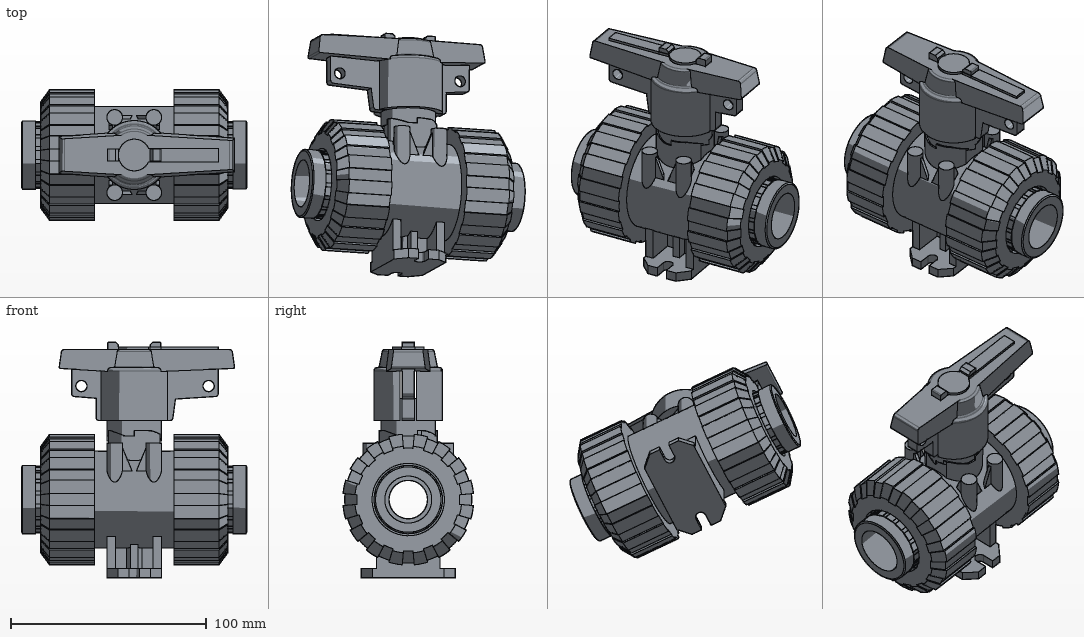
import cadquery as cq


overall_length = 115.0
foot_bottom_z = -40.0
lug_top_z = 80.43

barrel_radius = 24.85
barrel_half_length = 40.0
port_radius = 9.75

neck_radius = 14.83
neck_flat_x = 13.2
collar_top_z = 35.2
collar_floor_z = 32.5
collar_floor_width = 4.6
collar_ramp_end = 12.0

post_radius = 4.0
post_x = 10.0
post_y = 19.2
post_top_z = 28.8
rib_top_z = 26.5
rib_toe_z = 13.0
rib_slope = 0.41
rib_thickness = 1.75
side_rib_offset = 1.9

foot_half_x = 14.0
foot_half_y = 24.1
foot_thickness = 4.9
foot_corner = 5.8
foot_slot_radius = 2.7
foot_slot_center_y = 17.9
leg_thickness = 4.4
leg_half_y = 16.3
foot_web_thickness = 3.0
foot_boss_radius = 4.3
foot_cross_half_x = 1.8
foot_cross_half_y = 9.3

nut_inner_x = 20.3
nut_outer_x = 47.8
nut_chamfer_x = 4.5
nut_chamfer_r = 6.2
nut_radius = 33.51
nut_face_hole_radius = 18.5
grip_depth = 1.0
grip_count = 16
grip_angle = 11.9

flange_end_x = 44.0
end_bore_radius = 12.0
end_collar_radius = 17.5
end_collar_x = 50.4
end_groove_radius = 17.0
end_chamfer_x = 0.5
end_chamfer_r = 0.8
spline_radius = 17.3
spline_count = 16
spline_angle = 6.8

stem_radius = 14.0
stem_top_z = 51.7
stem_tooth_depth = 2.6
stem_tooth_width = 8.0

skirt_radius = 17.6
skirt_bottom_z = 40.3
shoulder_z = 67.5
shoulder_fillet = 1.7
hub_root_fillet = 0.7
hub_bottom_radius = 15.0
hub_top_radius = 13.1
hub_fillet = 1.2
grip_top_z = 76.7
grip_bottom_z = 65.4
grip_end_rise = 1.6
grip_draft = 8.0
grip_left_x = -38.7
grip_right_x = 51.6
grip_left_half_y = 9.7
grip_right_half_y = 8.9
grip_middle_half_y = 11.7
grip_middle_half_x = 6.0
underside_flat_half_x = 12.5
grip_top_fillet = 1.6
grip_bottom_fillet = 0.8
skirt_slot_half_y = 4.2
skirt_slot_top_z = 66.6
cap_radius = 8.1
cap_top_z = 78.0
strip_half_y = 3.45
strip_end_x = 43.0

insert_half_y = 3.1
insert_left_x = -32.0
insert_right_x = strip_end_x
arm_end_z = 52.7
arm_left_root_z = 51.7
arm_right_root_z = 51.3
leg_left_x = -19.5
leg_right_x = 19.6
leg_right_root_x = 21.1
arm_fillet = 1.6
leg_fillet = 1.6
lock_hole_radius = 2.8
lock_hole_z = 58.0
lock_hole_inset = 5.0
lug_outer_x = 13.6
lug_top_inner_x = 9.5
lug_inner_x = cap_radius
lug_fillet = 0.6


def z_cylinder(radius, bottom_z, top_z, x=0.0, y=0.0):
    return cq.Workplane("XY", origin=(x, y, bottom_z)).circle(radius).extrude(top_z - bottom_z)


def x_cylinder(radius, left_x, right_x):
    return cq.Workplane("YZ", origin=(left_x, 0, 0)).circle(radius).extrude(right_x - left_x)


def block(x0, x1, y0, y1, z0, z1):
    return cq.Workplane("XY").box(x1 - x0, y1 - y0, z1 - z0, centered=False).translate((x0, y0, z0))


def xz_plate(points, y0, y1):
    """Plate with an outline in X and Z, reaching from y0 to y1."""
    return cq.Workplane("XZ", origin=(0, y0, 0)).polyline(points).close().extrude(y0 - y1)


def yz_plate(points, x0, x1):
    """Plate with an outline in Y and Z, reaching from x0 to x1."""
    return cq.Workplane("YZ", origin=(x0, 0, 0)).polyline(points).close().extrude(x1 - x0)


def revolve_about_x(points, angle=360.0):
    """Solid of revolution about X from points given as (x, radius)."""
    return cq.Workplane("XY").polyline(points).close().revolve(angle, (0, 0, 0), (1, 0, 0))


def neck():
    """Round neck with two flats; its rim is stepped into four one-way ramps."""
    body = z_cylinder(neck_radius, 0, collar_top_z)
    notch = xz_plate(
        [
            (0, collar_floor_z),
            (-collar_floor_width, collar_floor_z),
            (-collar_ramp_end, collar_top_z),
            (0, collar_top_z),
        ],
        -neck_radius,
        -neck_radius / 2,
    )
    for quarter in range(4):
        body = body.cut(notch.rotate((0, 0, 0), (0, 0, 1), 90 * quarter))
    flats = block(-neck_flat_x, neck_flat_x, -neck_radius, neck_radius, 0, collar_top_z)
    return body.intersect(flats)


def guard_post():
    """Post in the +X +Y corner, with a gusset toward X = 0 and one toward Y = 0."""
    post = z_cylinder(post_radius, 0, post_top_z, post_x, post_y)
    rib_height = rib_top_z - rib_toe_z
    rib_length = post_radius + rib_slope * rib_height
    inward_rib = xz_plate(
        [
            (post_x, rib_top_z),
            (post_x - post_radius, rib_top_z),
            (post_x - rib_length, rib_toe_z),
            (post_x, rib_toe_z),
        ],
        post_y - rib_thickness / 2,
        post_y + rib_thickness / 2,
    )
    side_rib_x = post_x + side_rib_offset
    side_rib = yz_plate(
        [
            (post_y, rib_top_z),
            (post_y - post_radius, rib_top_z),
            (post_y - rib_length, rib_toe_z),
            (post_y, rib_toe_z),
        ],
        side_rib_x - rib_thickness / 2,
        side_rib_x + rib_thickness / 2,
    )
    return post.union(inward_rib).union(side_rib)


def foot():
    """Base plate with two open slots, carried by two legs and a web with a boss."""
    plate_top_z = foot_bottom_z + foot_thickness
    plate = block(-foot_half_x, foot_half_x, -foot_half_y, foot_half_y, foot_bottom_z, plate_top_z)
    plate = plate.edges("|Z").chamfer(foot_corner)
    for side in (-1, 1):
        slot_y = side * foot_slot_center_y
        edge_y = side * foot_half_y
        plate = plate.cut(z_cylinder(foot_slot_radius, foot_bottom_z, plate_top_z, 0, slot_y))
        plate = plate.cut(
            block(
                -foot_slot_radius,
                foot_slot_radius,
                min(slot_y, edge_y),
                max(slot_y, edge_y),
                foot_bottom_z,
                plate_top_z,
            )
        )
    leg_inner_x = foot_half_x - leg_thickness
    web_half_y = foot_web_thickness / 2
    supports = block(leg_inner_x, foot_half_x, -leg_half_y, leg_half_y, plate_top_z, 0)
    supports = supports.union(supports.mirror("YZ"))
    supports = supports.union(block(-leg_inner_x, leg_inner_x, -web_half_y, web_half_y, plate_top_z, 0))
    supports = supports.union(
        block(
            -foot_cross_half_x,
            foot_cross_half_x,
            -foot_cross_half_y,
            foot_cross_half_y,
            plate_top_z,
            0,
        )
    )
    supports = supports.union(z_cylinder(foot_boss_radius, plate_top_z, 0))
    return plate.union(supports)


def make_housing(stem_body):
    body = x_cylinder(barrel_radius, -barrel_half_length, barrel_half_length)
    body = body.union(neck()).union(foot())
    post = guard_post()
    post_pair = post.union(post.mirror("YZ"))
    body = body.union(post_pair).union(post_pair.mirror("XZ"))
    body = body.cut(x_cylinder(port_radius, -barrel_half_length, barrel_half_length))
    return body.cut(stem_body)


def nut_outline(outer_radius):
    return [
        (nut_inner_x, 0),
        (nut_inner_x, outer_radius),
        (nut_outer_x - nut_chamfer_x, outer_radius),
        (nut_outer_x, outer_radius - nut_chamfer_r),
        (nut_outer_x, 0),
    ]


def make_nut():
    """Nut on the +X side: a chamfered ring with raised grip bars around it."""
    body = revolve_about_x(nut_outline(nut_radius - grip_depth))
    bar = revolve_about_x(nut_outline(nut_radius), grip_angle)
    grip_pitch = 360 / grip_count
    first_bar = (grip_pitch - grip_angle) / 2
    for index in range(grip_count):
        turn = first_bar + index * grip_pitch
        body = body.union(bar.rotate((0, 0, 0), (1, 0, 0), turn))
    body = body.cut(x_cylinder(barrel_radius, nut_inner_x, flange_end_x))
    return body.cut(x_cylinder(nut_face_hole_radius, flange_end_x, nut_outer_x))


def make_end_connector():
    """Connector on the +X side: inner flange, splined tail and plain end collar."""
    end_x = overall_length / 2
    body = revolve_about_x(
        [
            (barrel_half_length, end_bore_radius),
            (barrel_half_length, barrel_radius),
            (flange_end_x, barrel_radius),
            (flange_end_x, end_groove_radius),
            (end_collar_x, end_groove_radius),
            (end_collar_x, end_collar_radius),
            (end_x - end_chamfer_x, end_collar_radius),
            (end_x, end_collar_radius - end_chamfer_r),
            (end_x, end_bore_radius),
        ]
    )
    spline = revolve_about_x(
        [
            (flange_end_x, end_bore_radius),
            (flange_end_x, spline_radius),
            (end_collar_x, spline_radius),
            (end_collar_x, end_bore_radius),
        ],
        spline_angle,
    )
    spline_pitch = 360 / spline_count
    first_spline = (spline_pitch - spline_angle) / 2
    for index in range(spline_count):
        turn = first_spline + index * spline_pitch
        body = body.union(spline.rotate((0, 0, 0), (1, 0, 0), turn))
    return body


def make_stem():
    """Round stem with two ramped teeth that reach down into the neck."""
    body = z_cylinder(stem_radius, collar_floor_z, stem_top_z)
    tooth_z = collar_floor_z - stem_tooth_depth
    tooth = yz_plate(
        [(0, tooth_z), (stem_tooth_width, collar_floor_z), (0, collar_floor_z)],
        -stem_radius,
        -stem_radius / 2,
    )
    tooth = tooth.intersect(z_cylinder(stem_radius, tooth_z, collar_floor_z))
    return body.union(tooth).union(tooth.rotate((0, 0, 0), (0, 0, 1), 180))


def make_insert(stem_body):
    """Flat key: two drilled arms, two legs beside the stem and two lugs through the handle."""
    web = xz_plate(
        [
            (insert_left_x, skirt_slot_top_z),
            (insert_left_x, arm_end_z),
            (leg_left_x, arm_left_root_z),
            (leg_left_x, skirt_bottom_z),
            (leg_right_x, skirt_bottom_z),
            (leg_right_root_x, arm_right_root_z),
            (insert_right_x, arm_end_z),
            (insert_right_x, skirt_slot_top_z),
        ],
        -insert_half_y,
        insert_half_y,
    )
    web = web.edges("|Y").edges("<Z").fillet(leg_fillet)
    for arm_end_x in (insert_left_x, insert_right_x):
        corner = cq.selectors.NearestToPointSelector((arm_end_x, 0, arm_end_z))
        web = web.edges("|Y").edges(corner).fillet(arm_fillet)
    lock_hole_xs = (insert_left_x + lock_hole_inset, insert_right_x - lock_hole_inset)
    for hole_x in lock_hole_xs:
        hole = cq.Workplane("XZ", origin=(hole_x, insert_half_y, lock_hole_z))
        web = web.cut(hole.circle(lock_hole_radius).extrude(2 * insert_half_y))
    lug = xz_plate(
        [
            (lug_outer_x, skirt_slot_top_z),
            (lug_outer_x, lug_top_z),
            (lug_top_inner_x, lug_top_z),
            (lug_inner_x, lug_top_z - (lug_top_inner_x - lug_inner_x)),
            (lug_inner_x, skirt_slot_top_z),
        ],
        -insert_half_y,
        insert_half_y,
    )
    lug = lug.edges("|Y and >X and >Z").fillet(lug_fillet)
    return web.union(lug).union(lug.mirror("YZ")).cut(stem_body)


def hand_grip():
    """Drafted lever, widest at the hub, with an underside that rises toward both ends."""
    lever = (
        cq.Workplane("XY", origin=(0, 0, grip_bottom_z))
        .polyline(
            [
                (grip_left_x, -grip_left_half_y),
                (-grip_middle_half_x, -grip_middle_half_y),
                (grip_middle_half_x, -grip_middle_half_y),
                (grip_right_x, -grip_right_half_y),
                (grip_right_x, grip_right_half_y),
                (grip_middle_half_x, grip_middle_half_y),
                (-grip_middle_half_x, grip_middle_half_y),
                (grip_left_x, grip_left_half_y),
            ]
        )
        .close()
        .extrude(grip_top_z - grip_bottom_z, taper=grip_draft)
    )
    for end_x, root_x in (
        (grip_left_x, -underside_flat_half_x),
        (grip_right_x, underside_flat_half_x),
    ):
        underside = xz_plate(
            [
                (root_x, grip_bottom_z),
                (end_x, grip_bottom_z),
                (end_x, grip_bottom_z + grip_end_rise),
            ],
            -grip_middle_half_y,
            grip_middle_half_y,
        )
        lever = lever.cut(underside)
    for end_face in ("<X", ">X"):
        lever = lever.faces(end_face).edges(">Z").fillet(grip_top_fillet)
    for end_edge in ("<X", ">X"):
        lever = lever.edges("|Y").edges(end_edge).fillet(grip_bottom_fillet)
    return lever


def hub():
    """Skirt around the stem with a rounded shoulder and a tapered crown, blended at its root."""
    skirt = z_cylinder(skirt_radius, skirt_bottom_z, shoulder_z)
    skirt = skirt.faces(">Z").edges().fillet(shoulder_fillet)
    crown = (
        cq.Workplane("XZ")
        .polyline(
            [
                (0, shoulder_z),
                (hub_bottom_radius, shoulder_z),
                (hub_top_radius, grip_top_z),
                (0, grip_top_z),
            ]
        )
        .close()
        .revolve(360, (0, 0, 0), (0, 1, 0))
    )
    crown = crown.faces(">Z").edges().fillet(hub_fillet)
    body = skirt.union(crown)
    root_circle = cq.selectors.NearestToPointSelector((0, 0, shoulder_z))
    return body.edges("%CIRCLE").edges(root_circle).fillet(hub_root_fillet)


def make_handle(stem_body, insert_body):
    body = hub().union(hand_grip())
    body = body.union(z_cylinder(cap_radius, grip_bottom_z, cap_top_z))
    body = body.union(block(0, strip_end_x, -strip_half_y, strip_half_y, skirt_slot_top_z, cap_top_z))
    slot = block(
        -skirt_radius,
        skirt_radius,
        -skirt_slot_half_y,
        skirt_slot_half_y,
        skirt_bottom_z,
        skirt_slot_top_z,
    )
    return body.cut(slot).cut(stem_body).cut(insert_body)


stem = make_stem()
insert = make_insert(stem)
handle = make_handle(stem, insert)
housing = make_housing(stem)

nuts = []
end_connectors = []
for turn in (0, 180):
    nuts.append(make_nut().rotate((0, 0, 0), (0, 0, 1), turn))
    end_connectors.append(make_end_connector().rotate((0, 0, 0), (0, 0, 1), turn))

bodies = [housing, *nuts, *end_connectors, stem, insert, handle]
result = cq.Compound.makeCompound([solid for body in bodies for solid in body.solids().vals()])